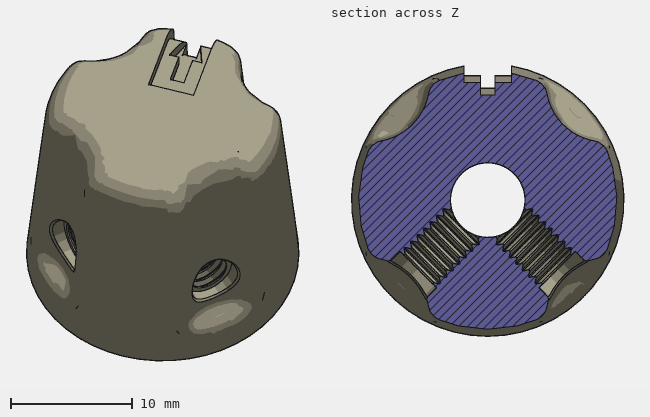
import cadquery as cq
import math

HEIGHT = 19.05
BASE_RADIUS = 22.35 / 2
TOP_RADIUS = 19.05 / 2
TOP_FILLET = 2.286
TAPER = math.atan((BASE_RADIUS - TOP_RADIUS) / HEIGHT)

SCALLOP_COUNT = 4
SCALLOP_FIRST_ANGLE = 45
SCALLOP_RADIUS = 4.8
SCALLOP_AXIS_AT_BASE = 14.15
SCALLOP_FILLET = 1.45
FLOOR_RADIUS = 10.03
FLOOR_HEIGHT = 3.05
FLOOR_SLOPE = 18

BORE_DIAMETER = 6.1
BORE_DEPTH = 12.7
BORE_ENTRY_CHAMFER = 0.4

SCREW_ANGLES = (-135, -45)
SCREW_HEIGHT = 6.5
THREAD_MINOR_RADIUS = 3.33 / 2
THREAD_MAJOR_RADIUS = 4.11 / 2
THREAD_PITCH = 0.75
THREAD_CREST = 0.15
THREAD_ROOT = 0.1
COUNTERBORE_RADIUS = 4.2 / 2
COUNTERBORE_FLOOR = 8.05
SCREW_RIM_CHAMFER = 0.15

RECESS_WIDTH = 3.86
RECESS_START = 2.35
RECESS_DEPTH = 0.96
ARROW_DEPTH = 1.02
ARROW_SHAFT_WIDTH = 1.18
ARROW_START = 4.06
ARROW_HEAD_WIDTH = 2.8
ARROW_HEAD_START = 6.46
ARROW_TIP = 10.22

CLEAR = 5.0
BIG = 4 * HEIGHT
BLOCK_SIDE = 5 * SCALLOP_RADIUS

FLOOR_EDGE_MARGIN = 1.0
RIM_MARGIN = 0.1


def around_z(shape, angle):
    return shape.rotate((0, 0, 0), (0, 0, 1), angle)


def make_body():
    cone = (
        cq.Workplane("XZ")
        .polyline([(0, 0), (BASE_RADIUS, 0), (TOP_RADIUS, HEIGHT), (0, HEIGHT)])
        .close()
        .revolve()
    )
    return cone.faces(">Z").edges().fillet(TOP_FILLET)


def make_scallop_cutter():
    """Cutter for a scallop on +X: leaning cylinder, sloping floor, top flared by the top fillet."""
    cylinder = (
        cq.Workplane("XY", origin=(SCALLOP_AXIS_AT_BASE, 0, -CLEAR))
        .circle(SCALLOP_RADIUS)
        .extrude(BIG)
        .rotate((SCALLOP_AXIS_AT_BASE, 0, 0), (SCALLOP_AXIS_AT_BASE, 1, 0), -math.degrees(TAPER))
    )
    above_floor = (
        cq.Workplane("XY")
        .rect(BIG, BIG)
        .extrude(BIG)
        .rotate((0, 0, 0), (0, 1, 0), FLOOR_SLOPE)
        .translate((FLOOR_RADIUS, 0, FLOOR_HEIGHT))
    )
    block = (
        cq.Workplane("XY", origin=(SCALLOP_AXIS_AT_BASE, 0, 0))
        .rect(BLOCK_SIDE, BLOCK_SIDE)
        .extrude(HEIGHT)
    )
    notched = block.cut(cylinder.intersect(above_floor))
    flared = notched.faces(">Z").edges("not %LINE").fillet(TOP_FILLET)
    return block.cut(flared)


def is_scallop_edge(edge):
    """True for the edges of a scallop's floor and sides, below the top fillet."""
    low = edge.BoundingBox().zmin
    return abs(low - FLOOR_HEIGHT) < FLOOR_EDGE_MARGIN


def cut_scallops(body):
    cutter = make_scallop_cutter()
    for index in range(SCALLOP_COUNT):
        body = body.cut(around_z(cutter, SCALLOP_FIRST_ANGLE + index * 360 / SCALLOP_COUNT))
    edges = [edge for edge in body.edges().vals() if is_scallop_edge(edge)]
    return cq.Workplane(body.val().fillet(SCALLOP_FILLET, edges))


def make_screw_cutter():
    """Smooth part of a set-screw hole along +X: minor bore and counterbore."""
    plane = cq.Workplane("YZ", origin=(0, 0, SCREW_HEIGHT))
    minor = plane.circle(THREAD_MINOR_RADIUS).extrude(COUNTERBORE_FLOOR)
    counterbore = plane.workplane(offset=COUNTERBORE_FLOOR).circle(COUNTERBORE_RADIUS).extrude(CLEAR)
    return minor.union(counterbore)


def make_thread_cutter():
    """Set-screw thread along +X as a row of ring grooves, from the bore to the counterbore."""
    end = COUNTERBORE_FLOOR - THREAD_CREST
    count = math.ceil((end - BORE_DIAMETER / 2) / THREAD_PITCH)
    start = end - count * THREAD_PITCH
    outline = cq.Workplane("XY").moveTo(start, 0).lineTo(start, THREAD_MINOR_RADIUS)
    for index in range(count):
        groove = start + index * THREAD_PITCH
        mouth_end = groove + THREAD_PITCH
        middle = groove + (THREAD_CREST + THREAD_PITCH) / 2
        outline = (
            outline.lineTo(groove + THREAD_CREST, THREAD_MINOR_RADIUS)
            .lineTo(middle - THREAD_ROOT / 2, THREAD_MAJOR_RADIUS)
            .lineTo(middle + THREAD_ROOT / 2, THREAD_MAJOR_RADIUS)
            .lineTo(mouth_end, THREAD_MINOR_RADIUS)
        )
    rings = outline.lineTo(end, 0).close().revolve(360, (0, 0, 0), (1, 0, 0))
    return rings.translate((0, 0, SCREW_HEIGHT))


def is_screw_rim(edge):
    """True for the edge where a set-screw counterbore meets the scallop wall."""
    center = edge.Center()
    full_height = abs(edge.BoundingBox().zlen - 2 * COUNTERBORE_RADIUS) < RIM_MARGIN
    return full_height and math.hypot(center.x, center.y) > COUNTERBORE_FLOOR + RIM_MARGIN


def cut_screw_holes(body):
    for angle in SCREW_ANGLES:
        body = body.cut(around_z(make_screw_cutter(), angle))
    rims = [edge for edge in body.edges().vals() if is_screw_rim(edge)]
    body = cq.Workplane(body.val().chamfer(SCREW_RIM_CHAMFER, None, rims))
    for angle in SCREW_ANGLES:
        body = body.cut(around_z(make_thread_cutter(), angle))
    return body


def outside_sunk_surface(outline, depth):
    """Extruded plan outline, less the side profile of the body moved inward by the depth."""
    wall_shift = depth / math.cos(TAPER)
    top = HEIGHT - depth
    base_y = BASE_RADIUS - wall_shift
    top_y = base_y - top * math.tan(TAPER)
    kept = (
        cq.Workplane("YZ")
        .polyline([(-CLEAR, 0), (base_y, 0), (top_y, top), (-CLEAR, top)])
        .close()
        .extrude(BASE_RADIUS, both=True)
    )
    rounded = kept.faces(">Z").edges(">Y").fillet(TOP_FILLET - depth)
    return outline.extrude(HEIGHT + CLEAR).cut(rounded)


def make_slot_outline(width, start):
    """Plan rectangle of the given width, from y = start out past the base."""
    return cq.Workplane("XY").center(0, start + BASE_RADIUS / 2).rect(width, BASE_RADIUS)


def cut_pointer(body):
    recess = make_slot_outline(RECESS_WIDTH, RECESS_START)
    shaft = make_slot_outline(ARROW_SHAFT_WIDTH, ARROW_START)
    arrow_depth = RECESS_DEPTH + ARROW_DEPTH
    half_head = ARROW_HEAD_WIDTH / 2
    head = (
        cq.Workplane("XY", origin=(0, 0, HEIGHT - arrow_depth))
        .polyline([(-half_head, ARROW_HEAD_START), (half_head, ARROW_HEAD_START), (0, ARROW_TIP)])
        .close()
        .extrude(arrow_depth)
    )
    body = body.cut(outside_sunk_surface(recess, RECESS_DEPTH))
    body = body.cut(outside_sunk_surface(shaft, arrow_depth))
    return body.cut(head)


def cut_bore(body):
    body = body.cut(cq.Workplane("XY").circle(BORE_DIAMETER / 2).extrude(BORE_DEPTH))
    return body.faces("<Z").edges(cq.selectors.RadiusNthSelector(0)).chamfer(BORE_ENTRY_CHAMFER)


knob = cut_scallops(make_body())
knob = cut_pointer(knob)
knob = cut_bore(knob)
result = cut_screw_holes(knob)